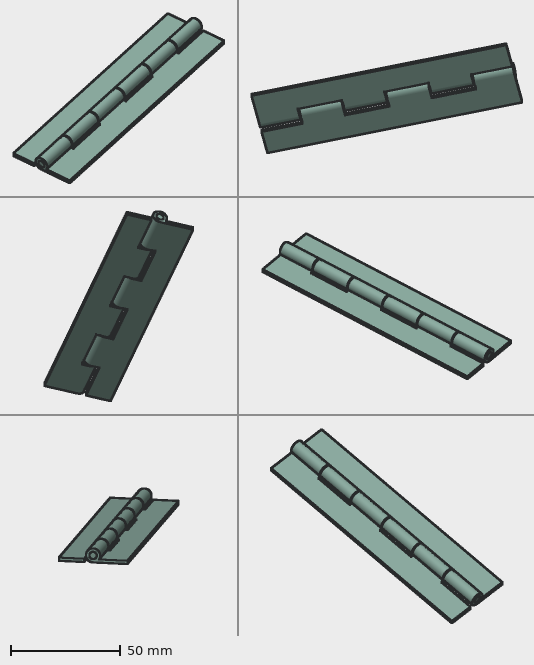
import cadquery as cq


hinge_length = 120.0
open_width = 32.0
leaf_thickness = 1.6
pin_diameter = 3.5
knuckle_count = 6
end_gap = 0.4
side_gap = 0.8
inner_knuckle_length = 20.0

pin_radius = pin_diameter / 2
knuckle_radius = pin_radius + leaf_thickness
leaf_width = open_width / 2
notch_edge = knuckle_radius + side_gap
knuckle_pitch = inner_knuckle_length + end_gap
inner_knuckles_length = (knuckle_count - 2) * knuckle_pitch
end_knuckle_length = (hinge_length - inner_knuckles_length - end_gap) / 2


def knuckle_span(index):
    """Start and end along Y of a knuckle, counted from the -Y end of the hinge."""
    first_end = end_knuckle_length - hinge_length / 2
    end = first_end + index * knuckle_pitch
    start = end - inner_knuckle_length
    if index == 0:
        start = -hinge_length / 2
    if index == knuckle_count - 1:
        end = hinge_length / 2
    return start, end


def cylinder(radius, start, end):
    """Solid cylinder on the pin axis between two places along Y."""
    plane = cq.Workplane("XZ", origin=(0, start, 0))
    return plane.circle(radius).extrude(start - end)


def plate(side, inner_edge, start, end):
    """Flat plate from inner_edge to the outer edge of the leaf on the given side."""
    corner = (side * inner_edge, start, -knuckle_radius)
    size_x = leaf_width - inner_edge
    block = cq.Workplane("XY", origin=corner).rect(side * size_x, end - start, centered=False)
    return block.extrude(leaf_thickness)


def make_leaf(side, first_knuckle):
    """Leaf on the +X (side=1) or -X (side=-1) half, carrying every second knuckle."""
    half_length = hinge_length / 2
    leaf = plate(side, notch_edge, -half_length, half_length)
    for index in range(first_knuckle, knuckle_count, 2):
        start, end = knuckle_span(index)
        tab = plate(side, 0, start, end)
        leaf = leaf.union(tab).union(cylinder(knuckle_radius, start, end))
    return leaf.cut(cylinder(pin_radius, -half_length, half_length)).solids()


right_leaf = make_leaf(side=1, first_knuckle=0)
left_leaf = make_leaf(side=-1, first_knuckle=1)
pin = cylinder(pin_radius, -hinge_length / 2, hinge_length / 2)

result = cq.Compound.makeCompound([right_leaf.val(), left_leaf.val(), pin.val()])